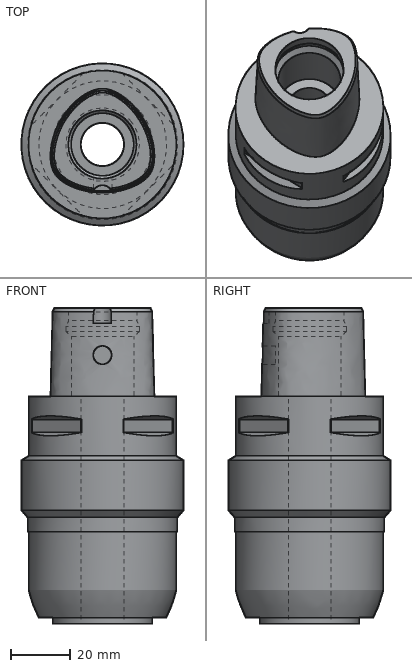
import cadquery as cq
import math

TOTAL_HEIGHT = 107.0
SHANK_BASE_Z = 77.0
COLLAR_SHOULDER_Z = 56.9
COLLAR_TOP_Z = 55.4
COLLAR_BOTTOM_Z = 38.5
COLLAR_UNDERSIDE_Z = 36.1
NECK_BOTTOM_Z = 31.2
NOSE_START_Z = 11.5
NOSE_END_Z = 2.1

BODY_RADIUS = 25.0
COLLAR_RADIUS = 27.5
NECK_RADIUS = 25.4
NOSE_END_RADIUS = 21.6
NOSE_BULGE = 0.3
SPIGOT_RADIUS = 16.9

SHANK_BASE_RADIUS = 17.7
LOBE_HEIGHT = 1.3
TAPER_PER_SIDE = 1 / 40
BEVEL_HEIGHT = 1.3
BEVEL_WIDTH = 0.6
LOBES = 3
POINTS_PER_OUTLINE = 36

THROUGH_RADIUS = 7.3
MOUTH_RADIUS = 11.6
GROOVE_RADIUS = 12.4
SEAT_RADIUS = 10.6
MOUTH_DEPTH = 4.2
GROOVE_WALL_DEPTH = 6.2
GROOVE_BOTTOM_DEPTH = 7.9
SEAT_DEPTH = 9.5
BORE_DEPTH = TOTAL_HEIGHT - SHANK_BASE_Z

NOTCH_RADIUS = 3.5
NOTCH_OFFSET = 17.3
NOTCH_DEPTH = 5.1
PIN_HOLE_RADIUS = 3.1
PIN_HOLE_Z = 91.1
PIN_HOLE_FLOOR = 11.6

SLOT_COUNT = 4
SLOT_FIRST_ANGLE = 45.0
SLOT_FLOOR_RADIUS = 21.7
SLOT_LENGTH = 23.5
SLOT_CENTRE_Z = 67.1
SLOT_FLOOR_HEIGHT = 4.3
SLOT_MOUTH_HEIGHT = 6.7


def turned_body():
    """Body, collar, neck, curved nose and end spigot as one revolved profile."""
    nose_middle = (
        (BODY_RADIUS + NOSE_END_RADIUS) / 2 + NOSE_BULGE,
        (NOSE_START_Z + NOSE_END_Z) / 2,
    )
    return (
        cq.Workplane("XZ")
        .lineTo(SPIGOT_RADIUS, 0)
        .lineTo(SPIGOT_RADIUS, NOSE_END_Z)
        .lineTo(NOSE_END_RADIUS, NOSE_END_Z)
        .threePointArc(nose_middle, (BODY_RADIUS, NOSE_START_Z))
        .lineTo(BODY_RADIUS, NECK_BOTTOM_Z)
        .lineTo(NECK_RADIUS, NECK_BOTTOM_Z)
        .lineTo(NECK_RADIUS, COLLAR_UNDERSIDE_Z)
        .lineTo(COLLAR_RADIUS, COLLAR_BOTTOM_Z)
        .lineTo(COLLAR_RADIUS, COLLAR_TOP_Z)
        .lineTo(BODY_RADIUS, COLLAR_SHOULDER_Z)
        .lineTo(BODY_RADIUS, SHANK_BASE_Z)
        .lineTo(0, SHANK_BASE_Z)
        .close()
        .revolve(360, (0, 0, 0), (0, 1, 0))
    )


def lobed_outline(mean_radius, z):
    """Constant-width three-lobed wire, with one lobe pointing to +Y."""
    points = []
    for i in range(POINTS_PER_OUTLINE):
        angle = 2 * math.pi * i / POINTS_PER_OUTLINE
        reach = mean_radius + LOBE_HEIGHT * math.cos(LOBES * angle)
        slope = -LOBES * LOBE_HEIGHT * math.sin(LOBES * angle)
        along = reach * math.cos(angle) - slope * math.sin(angle)
        across = reach * math.sin(angle) + slope * math.cos(angle)
        points.append(cq.Vector(-across, along, z))
    return cq.Wire.assembleEdges([cq.Edge.makeSpline(points, periodic=True)])


def lobed_shank():
    """Tapered shank with a steeper bevel at its free end."""
    bevel_z = TOTAL_HEIGHT - BEVEL_HEIGHT
    bevel_radius = SHANK_BASE_RADIUS - TAPER_PER_SIDE * (bevel_z - SHANK_BASE_Z)
    base = lobed_outline(SHANK_BASE_RADIUS, SHANK_BASE_Z)
    bevel = lobed_outline(bevel_radius, bevel_z)
    end = lobed_outline(bevel_radius - BEVEL_WIDTH, TOTAL_HEIGHT)
    taper = cq.Solid.makeLoft([base, bevel], True)
    tip = cq.Solid.makeLoft([bevel, end], True)
    return cq.Workplane(taper).union(cq.Workplane(tip))


def stepped_bore():
    """Mouth, conical-sided clamping groove, seat bore and through hole."""
    return (
        cq.Workplane("XZ")
        .lineTo(THROUGH_RADIUS, 0)
        .lineTo(THROUGH_RADIUS, TOTAL_HEIGHT - BORE_DEPTH)
        .lineTo(SEAT_RADIUS, TOTAL_HEIGHT - BORE_DEPTH)
        .lineTo(SEAT_RADIUS, TOTAL_HEIGHT - SEAT_DEPTH)
        .lineTo(GROOVE_RADIUS, TOTAL_HEIGHT - GROOVE_BOTTOM_DEPTH)
        .lineTo(GROOVE_RADIUS, TOTAL_HEIGHT - GROOVE_WALL_DEPTH)
        .lineTo(MOUTH_RADIUS, TOTAL_HEIGHT - MOUTH_DEPTH)
        .lineTo(MOUTH_RADIUS, TOTAL_HEIGHT)
        .lineTo(0, TOTAL_HEIGHT)
        .close()
        .revolve(360, (0, 0, 0), (0, 1, 0))
    )


def driving_notch():
    """Round-backed notch open at the shank end."""
    return (
        cq.Workplane("XY", origin=(0, -NOTCH_OFFSET, TOTAL_HEIGHT - NOTCH_DEPTH))
        .circle(NOTCH_RADIUS)
        .extrude(NOTCH_DEPTH)
    )


def pin_hole():
    """Blind radial hole entering from -Y."""
    return (
        cq.Workplane("XZ", origin=(0, -PIN_HOLE_FLOOR, PIN_HOLE_Z))
        .circle(PIN_HOLE_RADIUS)
        .extrude(BODY_RADIUS - PIN_HOLE_FLOOR)
    )


def gripper_slot(angle):
    """Flat-floored tangential slot whose sides flare outward to the body surface."""
    floor_half = SLOT_FLOOR_HEIGHT / 2
    mouth_half = SLOT_MOUTH_HEIGHT / 2
    return (
        cq.Workplane("XZ", origin=(0, 0, SLOT_CENTRE_Z))
        .moveTo(SLOT_FLOOR_RADIUS, -floor_half)
        .lineTo(BODY_RADIUS, -mouth_half)
        .lineTo(BODY_RADIUS, mouth_half)
        .lineTo(SLOT_FLOOR_RADIUS, floor_half)
        .close()
        .extrude(SLOT_LENGTH / 2, both=True)
        .rotate((0, 0, 0), (0, 0, 1), angle)
    )


result = turned_body().union(lobed_shank())
result = result.cut(stepped_bore()).cut(driving_notch()).cut(pin_hole())
for slot in range(SLOT_COUNT):
    result = result.cut(gripper_slot(SLOT_FIRST_ANGLE + slot * 360 / SLOT_COUNT))